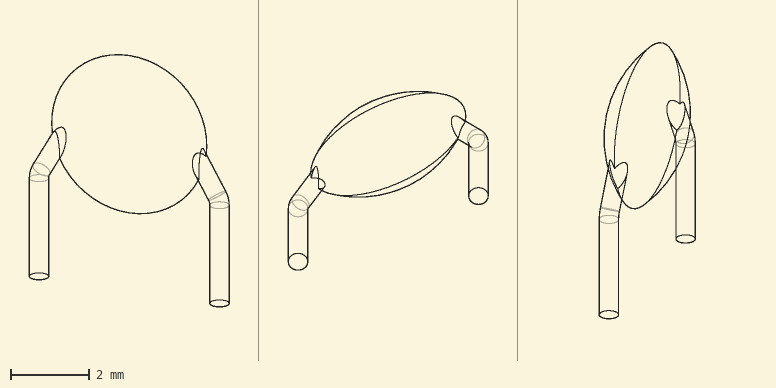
import cadquery as cq
import math

total_height = 6.4
disc_diameter = 4.3
disc_thickness = 1.9
wire_diameter = 0.5
lead_span = 5.5
straight_length = 2.68
bend_radius = 0.5
bend_angle = 30.0
tilted_length = 1.41

disc_radius = disc_diameter / 2
disc_center_z = total_height - disc_radius
lead_x = (lead_span - wire_diameter) / 2


def make_disc():
    """Lens with two spherical faces meeting at a sharp rim, axis along Y."""
    half_thickness = disc_thickness / 2
    sphere_radius = (disc_radius**2 + half_thickness**2) / (2 * half_thickness)
    sphere_offset = sphere_radius - half_thickness
    front = cq.Workplane("XY").sphere(sphere_radius).translate((0, sphere_offset, disc_center_z))
    back = cq.Workplane("XY").sphere(sphere_radius).translate((0, -sphere_offset, disc_center_z))
    return front.intersect(back)


def make_lead():
    """Right-hand wire: vertical, then bent inward toward the disc."""
    def bend_point(degrees):
        angle = math.radians(degrees)
        x = lead_x - bend_radius * (1 - math.cos(angle))
        z = straight_length + bend_radius * math.sin(angle)
        return x, z

    bend_end = bend_point(bend_angle)
    tilt = math.radians(bend_angle)
    tip = (
        bend_end[0] - tilted_length * math.sin(tilt),
        bend_end[1] + tilted_length * math.cos(tilt),
    )
    path = (
        cq.Workplane("XZ")
        .moveTo(lead_x, 0)
        .lineTo(lead_x, straight_length)
        .threePointArc(bend_point(bend_angle / 2), bend_end)
        .lineTo(*tip)
    )
    return cq.Workplane("XY").center(lead_x, 0).circle(wire_diameter / 2).sweep(path)


right_lead = make_lead()
left_lead = right_lead.mirror("YZ")
result = make_disc().union(right_lead).union(left_lead)